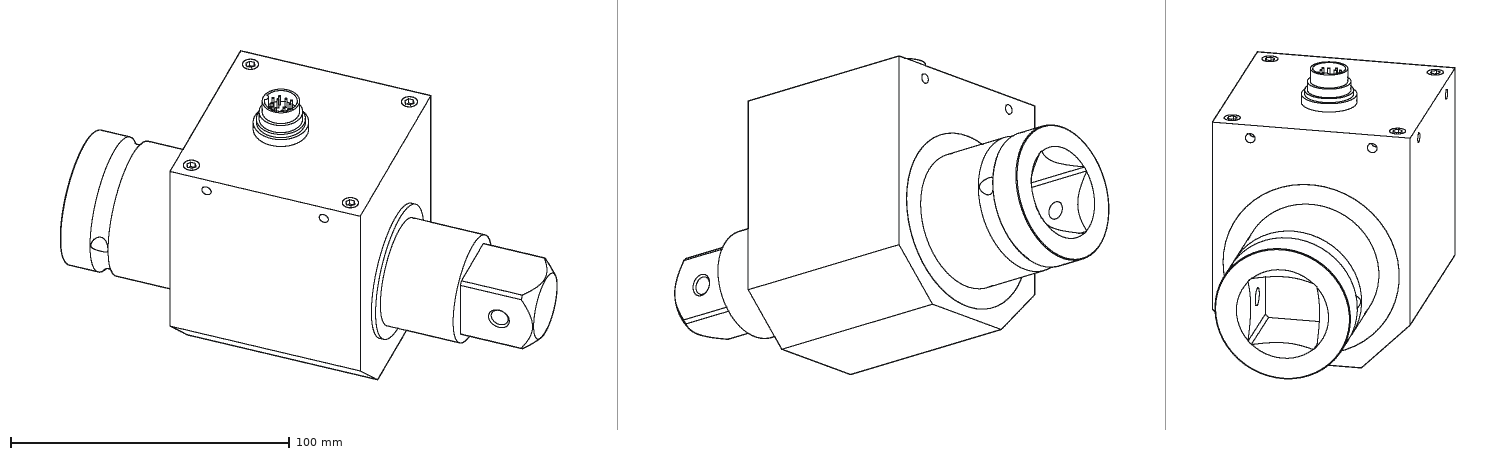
import cadquery as cq
import math

total_length = 177.0
body_start = 46.5
body_size = 73.0
body_end = body_start + body_size
body_mid = body_start + body_size / 2
drive_length = 28.0
drive_start = total_length - drive_length

body_half = body_size / 2
body_top = 53.5
lower_chamfer = 18.0
seat_diameter = 65.0
seat_height = 0.1

barrel_diameter = 50.0
barrel_rim_chamfer = 0.3
socket_square = 25.4
socket_corner_chamfer = 1.2
socket_depth = drive_length
lead_in_radius = 17.0
groove_x = 15.0
groove_radius = 4.0
groove_depth = 2.0
pin_hole_diameter = 6.5

collar_length = 1.6
shaft_diameter = 40.0
drive_square = 25.0
drive_chamfer = 1.2
drive_tip_radius = 12.2
drive_hole_x = 163.8
drive_hole_mouth_diameter = 8.0

side_hole_diameter = 3.5
side_hole_depth = 6.0
side_hole_spacing = 45.0
side_hole_drop = 5.0
drill_point_angle = 118.0

screw_inset = 6.0
screw_hole_diameter = 5.84
screw_head_diameter = 5.74
screw_gap_depth = 1.0
hex_across_flats = 3.0
hex_depth = 2.0

connector_x = 75.5
connector_steps = [(20.0, 3.2), (17.7, 4.7), (15.7, 8.0), (13.46, 13.0)]
connector_top = body_top + connector_steps[-1][1]
connector_bore_diameter = 11.8
connector_bore_depth = 5.0
key_diameter = 2.9
key_offset = 6.3
contact_diameter = 0.76
contact_height = 3.8
contact_pattern_turn = 45.0
contact_circles = [
    (4.2, [0, 72, 108, 180, 252, 288]),
    (3.27, [30, 150, 210, 330]),
    (2.6, [90, 270]),
]


def cylinder_x(diameter, start, end):
    """Cylinder on the X axis between two positions."""
    return cq.Workplane("YZ", origin=(start, 0, 0)).circle(diameter / 2).extrude(end - start)


def cylinder_y(diameter, x, length):
    """Cylinder along Y, centred on the shaft axis."""
    return cq.Workplane("XZ", origin=(x, 0, 0)).circle(diameter / 2).extrude(length / 2, both=True)


def square_bar(side, chamfer, start, end):
    """Square bar on the X axis with its long edges chamfered."""
    bar = cq.Workplane("YZ", origin=(start, 0, 0)).rect(side, side).extrude(end - start)
    return bar.edges("|X").chamfer(chamfer)


def cone(radius, base, direction):
    """Cone with a right-angled tip."""
    return cq.Workplane(cq.Solid.makeCone(radius, 0, radius, cq.Vector(*base), cq.Vector(*direction)))


def make_body():
    outline = (
        cq.Workplane("YZ", origin=(body_start, 0, 0))
        .moveTo(-body_half, body_top)
        .lineTo(body_half, body_top)
        .lineTo(body_half, lower_chamfer - body_half)
        .lineTo(body_half - lower_chamfer, -body_half)
        .lineTo(lower_chamfer - body_half, -body_half)
        .lineTo(-body_half, lower_chamfer - body_half)
        .close()
    )
    seat = cylinder_x(seat_diameter, body_start - seat_height, body_mid)
    return outline.extrude(body_size).union(seat)


def make_barrel():
    barrel = cylinder_x(barrel_diameter, 0, body_mid)
    barrel = barrel.faces("<X").chamfer(barrel_rim_chamfer)
    groove_centre = barrel_diameter / 2 - groove_depth + groove_radius
    groove = (
        cq.Workplane("XZ")
        .center(groove_x, groove_centre)
        .circle(groove_radius)
        .revolve(360, (-groove_x, -groove_centre, 0), (1 - groove_x, -groove_centre, 0))
    )
    socket = square_bar(socket_square, socket_corner_chamfer, 0, socket_depth)
    lead_in = cone(lead_in_radius, (0, 0, 0), (1, 0, 0))
    pin_hole = cylinder_y(pin_hole_diameter, groove_x, barrel_diameter)
    return barrel.cut(groove).cut(socket).cut(lead_in).cut(pin_hole)


def make_drive_hole():
    hole = cylinder_y(pin_hole_diameter, drive_hole_x, drive_square)
    for side in (-1, 1):
        mouth = (drive_hole_x, side * drive_square / 2, 0)
        hole = hole.union(cone(drive_hole_mouth_diameter / 2, mouth, (0, -side, 0)))
    return hole


def make_output():
    collar = cylinder_x(barrel_diameter, body_mid, body_end + collar_length)
    shaft = cylinder_x(shaft_diameter, body_mid, drive_start)
    drive = square_bar(drive_square, drive_chamfer, drive_start, total_length)
    tip_envelope = cone(drive_tip_radius + drive_length, (drive_start, 0, 0), (1, 0, 0))
    return collar.union(shaft).union(drive.intersect(tip_envelope)).cut(make_drive_hole())


def side_hole(position, direction):
    """Blind hole ending in a drill point."""
    radius = side_hole_diameter / 2
    point_length = radius / math.tan(math.radians(drill_point_angle / 2))
    axis = cq.Vector(*direction)
    start = cq.Vector(*position)
    bore = cq.Solid.makeCylinder(radius, side_hole_depth, start, axis)
    point = cq.Solid.makeCone(radius, 0, point_length, start + axis * side_hole_depth, axis)
    return cq.Workplane(bore).union(cq.Workplane(point))


def cut_side_holes(part):
    z = body_top - side_hole_drop
    for offset in (-side_hole_spacing / 2, side_hole_spacing / 2):
        part = part.cut(side_hole((body_mid + offset, -body_half, z), (0, 1, 0)))
        part = part.cut(side_hole((body_start, offset, z), (1, 0, 0)))
    return part


def cut_screws(part):
    spacing = body_size - 2 * screw_inset
    hex_across_corners = hex_across_flats / math.cos(math.radians(30))
    centres = cq.Workplane("XY", origin=(body_mid, 0, body_top)).rect(spacing, spacing, forConstruction=True)
    holes = centres.vertices().circle(screw_hole_diameter / 2).extrude(-screw_gap_depth)
    heads = centres.vertices().circle(screw_head_diameter / 2).extrude(-screw_gap_depth)
    sockets = centres.vertices().polygon(6, hex_across_corners).extrude(-hex_depth)
    return part.cut(holes.cut(heads)).cut(sockets)


def make_connector():
    base = cq.Workplane("XY", origin=(connector_x, 0, body_top))
    connector = base.circle(connector_steps[0][0] / 2).extrude(connector_steps[0][1])
    for diameter, height in connector_steps[1:]:
        connector = connector.union(base.circle(diameter / 2).extrude(height))

    bore_radius = connector_bore_diameter / 2
    rim = cq.Workplane("XY", origin=(connector_x, 0, connector_top))
    connector = connector.cut(rim.circle(bore_radius).extrude(-connector_bore_depth))

    floor = cq.Workplane("XY", origin=(connector_x, 0, connector_top - connector_bore_depth))
    key = floor.center(-key_offset, 0).circle(key_diameter / 2).extrude(connector_bore_depth)
    wall_middle_radius = (bore_radius + connector_steps[-1][0] / 2) / 2
    envelope = floor.circle(wall_middle_radius).extrude(connector_bore_depth)
    connector = connector.union(key.intersect(envelope))

    for radius, angles in contact_circles:
        for angle in angles:
            turned = math.radians(angle + contact_pattern_turn)
            contact = floor.center(radius * math.cos(turned), radius * math.sin(turned))
            connector = connector.union(contact.circle(contact_diameter / 2).extrude(contact_height))
    return connector


solid_body = cut_screws(cut_side_holes(make_body()))
result = solid_body.union(make_barrel()).union(make_output()).union(make_connector())